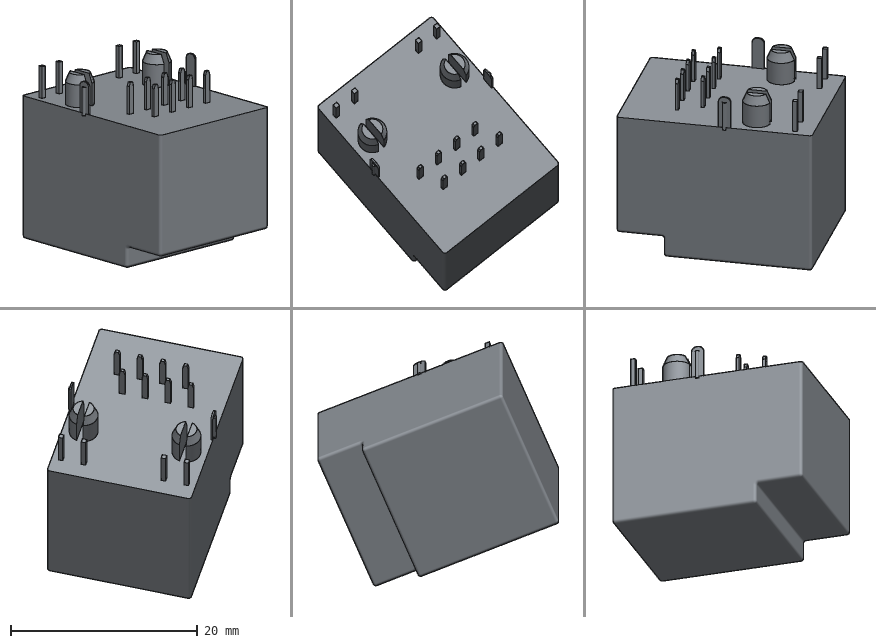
import cadquery as cq


length = 21.55
width = 16.0
housing_height = 15.92
overall_height = 19.45
overall_width = 16.37
edge_radius = 0.32
step_length = 5.21
step_height = 2.35
step_corner_radius = 0.25

pin_height = overall_height - housing_height
pitch = 1.27

peg_x = -4.18
peg_y = 4.5 * pitch
peg_diameter = 3.1
peg_tip_diameter = 2.25
peg_taper_height = 1.01
peg_slot_width = 0.73

square_pin_x = -8.7
square_pin_size = 0.5
square_pin_steps = (-5.5, -3.5, 3.5, 5.5)

contact_thickness = 0.32
contact_width = 0.62
contact_tip_width = 0.35
contact_tip_height = 0.43
inner_row_x = 2.35
outer_row_x = inner_row_x + 2 * pitch
inner_row_steps = (-3.5, -1.5, 0.5, 2.5)

blade_x = -1.12
blade_width = 1.35
blade_thickness = 0.2
blade_tip_radius = 0.58
blade_inset = 0.02
rib_height = (overall_width - width) / 2 + blade_inset
rib_crest_width = 0.17
rib_crest_radius = 0.09
rib_root_radius = 0.09
rib_overlap = 0.24
rib_length = pin_height - blade_tip_radius + rib_overlap


def make_housing():
    """Block with a stepped lower corner and rounded edges, except around the top face."""
    left, right = -length / 2, length / 2
    step_x = right - step_length
    block = (
        cq.Workplane("XZ")
        .moveTo(left, 0)
        .lineTo(step_x, 0)
        .lineTo(step_x, step_height)
        .lineTo(right, step_height)
        .lineTo(right, housing_height)
        .lineTo(left, housing_height)
        .close()
        .extrude(width / 2, both=True)
    )
    inner_corner = cq.selectors.NearestToPointSelector((step_x, 0, step_height))
    block = block.edges(inner_corner).fillet(step_corner_radius)
    return block.faces("not >Z").edges("not >Z").fillet(edge_radius)


def make_peg(y):
    """Round peg with a tapered tip and a slot down to the top face."""
    straight_height = pin_height - peg_taper_height
    peg = (
        cq.Workplane("XZ")
        .lineTo(peg_diameter / 2, 0)
        .lineTo(peg_diameter / 2, straight_height)
        .lineTo(peg_tip_diameter / 2, pin_height)
        .lineTo(0, pin_height)
        .close()
        .revolve(360, (0, 0), (0, 1))
    )
    slot = cq.Workplane("XY").box(
        peg_diameter, peg_slot_width, pin_height, centered=(True, True, False)
    )
    return peg.cut(slot).translate((peg_x, y, housing_height))


def make_square_pin(y):
    return (
        cq.Workplane("XY")
        .box(square_pin_size, square_pin_size, pin_height, centered=(True, True, False))
        .translate((square_pin_x, y, housing_height))
    )


def make_contact_pin(x, y):
    """Thin flat pin narrowing at its tip."""
    shoulder = pin_height - contact_tip_height
    return (
        cq.Workplane("YZ")
        .moveTo(-contact_width / 2, 0)
        .lineTo(contact_width / 2, 0)
        .lineTo(contact_width / 2, shoulder)
        .lineTo(contact_tip_width / 2, pin_height)
        .lineTo(-contact_tip_width / 2, pin_height)
        .lineTo(-contact_width / 2, shoulder)
        .close()
        .extrude(contact_thickness / 2, both=True)
        .translate((x, y, housing_height))
    )


def make_blade():
    """Blade and rib on the -Y side; the rib reaches down over the housing side."""
    face_y = -width / 2 + blade_inset
    blade = (
        cq.Workplane("XY")
        .box(blade_width, blade_thickness, pin_height, centered=(True, False, False))
        .edges("|Y and >Z")
        .fillet(blade_tip_radius)
        .translate((blade_x, face_y, housing_height))
    )
    crest = rib_crest_width / 2
    flank = crest + rib_crest_radius
    root = flank + rib_root_radius
    flank_top = rib_height - rib_crest_radius
    rib = (
        cq.Workplane("XY")
        .moveTo(-root, 0)
        .radiusArc((-flank, -rib_root_radius), rib_root_radius)
        .lineTo(-flank, -flank_top)
        .radiusArc((-crest, -rib_height), -rib_crest_radius)
        .lineTo(crest, -rib_height)
        .radiusArc((flank, -flank_top), -rib_crest_radius)
        .lineTo(flank, -rib_root_radius)
        .radiusArc((root, 0), rib_root_radius)
        .close()
        .extrude(rib_length)
        .translate((blade_x, face_y, housing_height - rib_overlap))
    )
    return blade.union(rib)


result = make_housing()

for side in (-1, 1):
    result = result.union(make_peg(side * peg_y))

for step in square_pin_steps:
    result = result.union(make_square_pin(step * pitch))

for step in inner_row_steps:
    result = result.union(make_contact_pin(inner_row_x, step * pitch))
    result = result.union(make_contact_pin(outer_row_x, (step + 1) * pitch))

blade = make_blade()
result = result.union(blade).union(blade.mirror("XZ"))